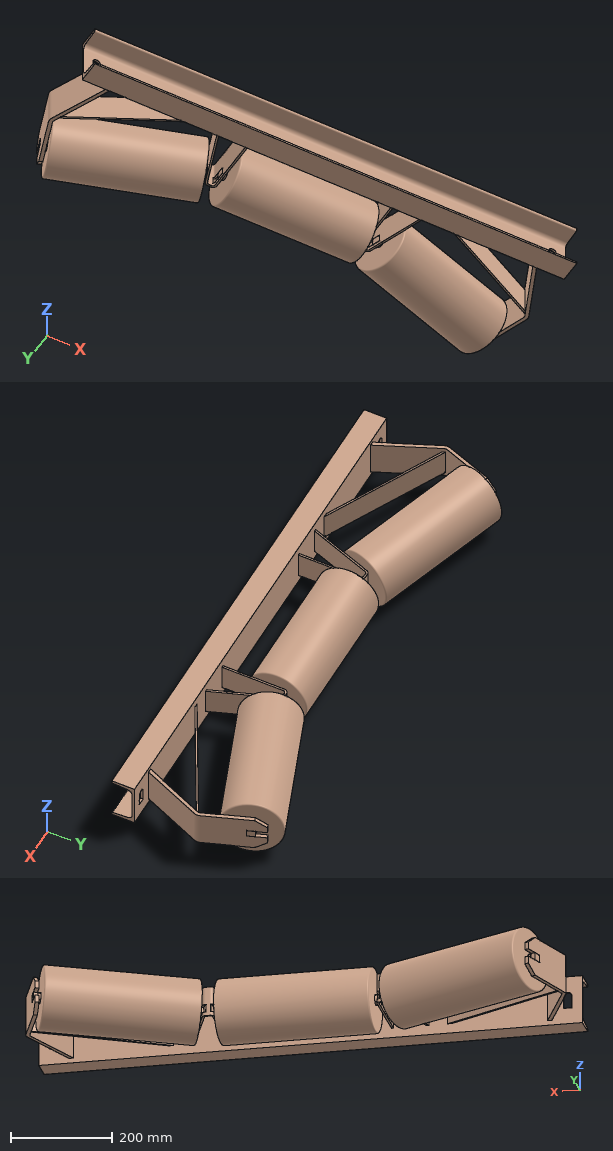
import cadquery as cq
import math

BEAM_LENGTH = 1100.0
BEAM_HEIGHT = 100.0
BEAM_DEPTH = 51.0
WEB_THICKNESS = 5.0
FLANGE_ROOT = 10.0
FLANGE_TIP = 7.0
ROOT_RADIUS = 10.0
TIP_RADIUS = 3.0
BOLT_SLOT_X = 520.0
BOLT_SLOT_WIDTH = 16.0
BOLT_SLOT_HEIGHT = 33.0

ROLLER_LENGTH = 315.0
ROLLER_DIAMETER = 133.0
ROLLER_EDGE_RADIUS = 3.0
SHAFT_RADIUS = 11.0
SHAFT_CLEARANCE = 0.5
TONGUE_WIDTH = 18.0
TONGUE_HEIGHT = 15.0
END_GAP = 7.0
CENTRE_AXIS_Y = 117.0
CENTRE_DROP = 14.0
WING_ANGLE = 20.0
WING_MID_X = 349.0
WING_MID_Y = 179.0

STRIP_HEIGHT = 80.0
OUTER_THICKNESS = 8.2
OUTER_FOOT_X = 484.0
OUTER_BEND_BELOW_AXIS = 107.0
OUTER_TIP_ABOVE_AXIS = 33.0
OUTER_BEND_RADIUS = 10.0
TIP_CHAMFER_ALONG = 25.0
TIP_CHAMFER_UP = 18.0
INNER_THICKNESS = 4.0
INNER_HEIGHT = 60.0
INNER_TOP_Y = 145.0
INNER_BEND_RADIUS = 4.0
BRACE_THICKNESS = 4.0
BRACE_HEIGHT = 60.0
BRACE_FOOT_X = 282.0

HALF_ROLLER = ROLLER_LENGTH / 2
ROLLER_RADIUS = ROLLER_DIAMETER / 2
OUTER_LEG_OFFSET = HALF_ROLLER + END_GAP + OUTER_THICKNESS / 2
INNER_LEG_OFFSET = HALF_ROLLER + END_GAP + INNER_THICKNESS / 2
OUTER_REACH = HALF_ROLLER + END_GAP + OUTER_THICKNESS
INNER_REACH = HALF_ROLLER + END_GAP + INNER_THICKNESS
WING_TILT = math.degrees(math.asin(CENTRE_DROP / (OUTER_LEG_OFFSET + INNER_LEG_OFFSET)))
WING_MID_Z = -CENTRE_DROP * OUTER_LEG_OFFSET / (OUTER_LEG_OFFSET + INNER_LEG_OFFSET)
SIN_WING = math.sin(math.radians(WING_ANGLE))
COS_WING = math.cos(math.radians(WING_ANGLE))
FOOT_OVERRUN = 22.0


def box(x_range, y_range, z_range):
    """Axis-aligned box given by its limits on each axis."""
    size = [high - low for low, high in (x_range, y_range, z_range)]
    corner = (x_range[0], y_range[0], z_range[0])
    return cq.Workplane("XY").box(*size, centered=False).translate(corner)


def mirrored(body):
    """The same body on the +X side."""
    return body.mirror("YZ")


def place_wing(body):
    """Move a body built around the X axis onto the -X wing roller axis."""
    tilted = body.rotate((0, 0, 0), (0, 1, 0), WING_TILT)
    swung = tilted.rotate((0, 0, 0), (0, 0, 1), -WING_ANGLE)
    return swung.translate((-WING_MID_X, WING_MID_Y, WING_MID_Z))


def place_centre(body):
    """Move a body built around the X axis onto the centre roller axis."""
    return body.translate((0, CENTRE_AXIS_Y, -CENTRE_DROP))


def wing_point(along, above):
    """Plan point measured along the -X wing axis and square to it."""
    x = -WING_MID_X + along * COS_WING + above * SIN_WING
    y = WING_MID_Y - along * SIN_WING + above * COS_WING
    return x, y


def wing_leg_at(along, y):
    """Plan point at height y on the line square to the wing axis."""
    above = (y - wing_point(along, 0)[1]) / COS_WING
    return wing_point(along, above)


def extended(start, end, extra):
    """Point beyond `start` on the line that comes from `end`."""
    length = math.dist(start, end)
    return tuple(s + (s - e) * extra / length for s, e in zip(start, end))


def make_bolt_slot():
    """Cutter through the web with a flat lower end and a round upper end."""
    half_width = BOLT_SLOT_WIDTH / 2
    shoulder = BOLT_SLOT_HEIGHT / 2 - half_width
    return (
        cq.Workplane("XZ")
        .moveTo(-half_width, -BOLT_SLOT_HEIGHT / 2)
        .lineTo(half_width, -BOLT_SLOT_HEIGHT / 2)
        .lineTo(half_width, shoulder)
        .threePointArc((0, BOLT_SLOT_HEIGHT / 2), (-half_width, shoulder))
        .close()
        .extrude(WEB_THICKNESS)
    )


def make_beam():
    half = BEAM_HEIGHT / 2
    profile = [
        (0, -half),
        (-BEAM_DEPTH, -half),
        (-BEAM_DEPTH, -half + FLANGE_TIP),
        (-WEB_THICKNESS, -half + FLANGE_ROOT),
        (-WEB_THICKNESS, half - FLANGE_ROOT),
        (-BEAM_DEPTH, half - FLANGE_TIP),
        (-BEAM_DEPTH, half),
        (0, half),
    ]
    beam = cq.Workplane("YZ").polyline(profile).close().extrude(BEAM_LENGTH / 2, both=True)
    for side in (-1, 1):
        root = (0, -WEB_THICKNESS, side * (half - FLANGE_ROOT))
        tip = (0, -BEAM_DEPTH, side * (half - FLANGE_TIP))
        beam = beam.edges(cq.NearestToPointSelector(root)).fillet(ROOT_RADIUS)
        beam = beam.edges(cq.NearestToPointSelector(tip)).fillet(TIP_RADIUS)
    for x in (-BOLT_SLOT_X, BOLT_SLOT_X):
        beam = beam.cut(make_bolt_slot().translate((x, 0, 0)))
    return beam


def rod(radius, half_length):
    """Cylinder on the X axis, centred on the origin."""
    return cq.Workplane("YZ", origin=(-half_length, 0, 0)).circle(radius).extrude(2 * half_length)


def make_roller(left_reach, right_reach):
    """Drum, round shaft and flattened shaft ends, around the X axis."""
    drum = rod(ROLLER_RADIUS, HALF_ROLLER).faces("<X or >X").edges().fillet(ROLLER_EDGE_RADIUS)
    shaft = rod(SHAFT_RADIUS, HALF_ROLLER + END_GAP - SHAFT_CLEARANCE)
    tongue = box(
        (-left_reach, right_reach),
        (-TONGUE_WIDTH / 2, TONGUE_WIDTH / 2),
        (-TONGUE_HEIGHT / 2, TONGUE_HEIGHT / 2),
    )
    return drum.union(shaft).union(tongue)


def make_end_slot(leg_offset, leg_thickness):
    """Cutter for the open slot that takes a shaft end, in the roller's own axes."""
    return box(
        (leg_offset - leg_thickness, leg_offset + leg_thickness),
        (-TONGUE_WIDTH / 2, ROLLER_RADIUS),
        (-TONGUE_HEIGHT / 2, TONGUE_HEIGHT / 2),
    )


def offset_side(path, distance):
    """Points of a path moved sideways, with mitred corners."""
    normals = []
    for (x0, y0), (x1, y1) in zip(path, path[1:]):
        length = math.hypot(x1 - x0, y1 - y0)
        normals.append(((y0 - y1) / length, (x1 - x0) / length))
    points = []
    for (x, y), (ax, ay), (bx, by) in zip(path, normals[:1] + normals, normals + normals[-1:]):
        scale = distance / (1 + ax * bx + ay * by)
        points.append((x + (ax + bx) * scale, y + (ay + by) * scale))
    return points


def make_strip(path, thickness, height, bend_radius=None):
    """Bent strip centred on a plan path and on Z = 0, trimmed at the web back."""
    left = offset_side(path, thickness / 2)
    right = offset_side(path, -thickness / 2)
    outline = left + right[::-1]
    strip = cq.Workplane("XY").polyline(outline).close().extrude(height / 2, both=True)
    for corner in range(1, len(path) - 1):
        (x0, y0), (x1, y1), (x2, y2) = path[corner - 1:corner + 2]
        turns_left = (x1 - x0) * (y2 - y1) > (y1 - y0) * (x2 - x1)
        inside, outside = (left, right) if turns_left else (right, left)
        for side, radius in ((inside, bend_radius), (outside, bend_radius + thickness)):
            edge = cq.NearestToPointSelector((*side[corner], 0))
            strip = strip.edges(edge).fillet(radius)
    below_web = box((-BEAM_LENGTH, BEAM_LENGTH), (-BEAM_DEPTH, 0), (-height, height))
    return strip.cut(below_web)


OUTER_BEND = wing_point(-OUTER_LEG_OFFSET, -OUTER_BEND_BELOW_AXIS)


def chamfer_tip(bracket):
    """Bevel the two free corners of the outer bracket's upper leg."""
    half = STRIP_HEIGHT / 2
    tip = OUTER_TIP_ABOVE_AXIS
    for side in (-1, 1):
        corner = (
            cq.Workplane("YZ")
            .polyline([
                (tip, side * half),
                (tip - TIP_CHAMFER_ALONG, side * half),
                (tip, side * (half - TIP_CHAMFER_UP)),
            ])
            .close()
            .extrude(OUTER_THICKNESS, both=True)
            .rotate((0, 0, 0), (0, 0, 1), -WING_ANGLE)
            .translate((*wing_point(-OUTER_LEG_OFFSET, 0), 0))
        )
        bracket = bracket.cut(corner)
    return bracket


def make_outer_bracket():
    foot = extended((-OUTER_FOOT_X, 0), OUTER_BEND, FOOT_OVERRUN)
    tip = wing_point(-OUTER_LEG_OFFSET, OUTER_TIP_ABOVE_AXIS)
    bracket = make_strip([foot, OUTER_BEND, tip], OUTER_THICKNESS, STRIP_HEIGHT, OUTER_BEND_RADIUS)
    bracket = chamfer_tip(bracket)
    return bracket.cut(place_wing(make_end_slot(-OUTER_LEG_OFFSET, OUTER_THICKNESS)))


def make_inner_bracket():
    top_y = INNER_TOP_Y - INNER_THICKNESS / 2
    path = [
        wing_leg_at(INNER_LEG_OFFSET, -FOOT_OVERRUN),
        wing_leg_at(INNER_LEG_OFFSET, top_y),
        (-INNER_LEG_OFFSET, top_y),
        (-INNER_LEG_OFFSET, -FOOT_OVERRUN),
    ]
    bracket = make_strip(path, INNER_THICKNESS, INNER_HEIGHT, INNER_BEND_RADIUS)
    bracket = bracket.cut(place_wing(make_end_slot(INNER_LEG_OFFSET, INNER_THICKNESS)))
    return bracket.cut(place_centre(make_end_slot(-INNER_LEG_OFFSET, INNER_THICKNESS)))


def make_brace(outer_bracket):
    """Straight strip from the outer bracket's bend down to the web back."""
    foot = extended((-BRACE_FOOT_X, 0), OUTER_BEND, FOOT_OVERRUN)
    return make_strip([foot, OUTER_BEND], BRACE_THICKNESS, BRACE_HEIGHT).cut(outer_bracket)


beam = make_beam()
centre_roller = place_centre(make_roller(INNER_REACH, INNER_REACH))
wing_roller = place_wing(make_roller(OUTER_REACH, INNER_REACH))
outer_bracket = make_outer_bracket()
inner_bracket = make_inner_bracket()
brace = make_brace(outer_bracket)

bodies = [beam, centre_roller]
for body in (wing_roller, outer_bracket, inner_bracket, brace):
    bodies += [body, mirrored(body)]

result = cq.Compound.makeCompound([solid for body in bodies for solid in body.solids().vals()])